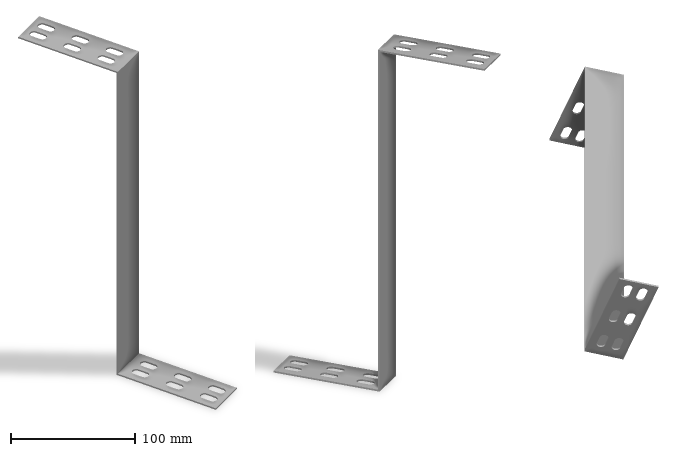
import cadquery as cq

length = 185.0
width = 33.0
height = 301.5
thickness = 1.5
upper_flange_length = 93.5

slot_length = 15.0
slot_width = 7.2
slot_end_margin = 12.7
slot_pitch = 32.0
row_spacing = 12.7
slots_per_row = 3


def make_strap():
    """Z profile in the XZ plane, centred on the origin and extruded across the width."""
    tip_x = length / 2
    top_z = height / 2
    web_right_x = upper_flange_length - tip_x
    web_left_x = web_right_x - thickness
    inner_z = top_z - thickness
    outline = [
        (-tip_x, top_z),
        (web_right_x, top_z),
        (web_right_x, -inner_z),
        (tip_x, -inner_z),
        (tip_x, -top_z),
        (web_left_x, -top_z),
        (web_left_x, inner_z),
        (-tip_x, inner_z),
    ]
    return cq.Workplane("XZ").polyline(outline).close().extrude(width / 2, both=True)


def make_slots(side):
    """Slot cutters for one flange: side is -1 for the upper flange, +1 for the lower."""
    centres = [
        (side * (length / 2 - slot_end_margin - column * slot_pitch), row * row_spacing / 2)
        for column in range(slots_per_row)
        for row in (-1, 1)
    ]
    flange_middle_z = -side * (height - thickness) / 2
    return (
        cq.Workplane("XY", origin=(0, 0, flange_middle_z))
        .pushPoints(centres)
        .slot2D(slot_length, slot_width)
        .extrude(thickness, both=True)
    )


result = make_strap().cut(make_slots(-1)).cut(make_slots(1))